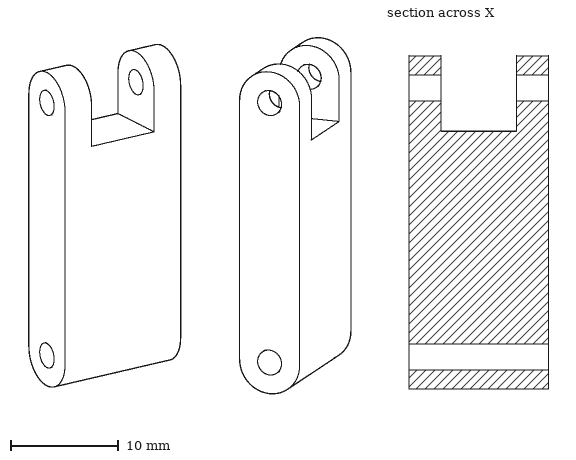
import cadquery as cq

height = 31.0
thickness = 6.0
width = 13.0
hole_diameter = 2.4
fork_gap = 7.0
fork_depth = 7.0

hole_spacing = height - thickness


def link_body():
    """Round-ended bar, centred on the origin and extruded along Y."""
    return cq.Workplane("XZ").slot2D(height, thickness, 90).extrude(width / 2, both=True)


def pin_holes():
    """Two pins along Y that cut the through holes at both ends."""
    return (
        cq.Workplane("XZ")
        .pushPoints([(0, -hole_spacing / 2), (0, hole_spacing / 2)])
        .circle(hole_diameter / 2)
        .extrude(width, both=True)
    )


def fork_slot():
    """Block that opens the top end into two ears."""
    return (
        cq.Workplane("XY")
        .workplane(offset=height / 2 - fork_depth)
        .rect(2 * thickness, fork_gap)
        .extrude(2 * fork_depth)
    )


result = link_body().cut(pin_holes()).cut(fork_slot())